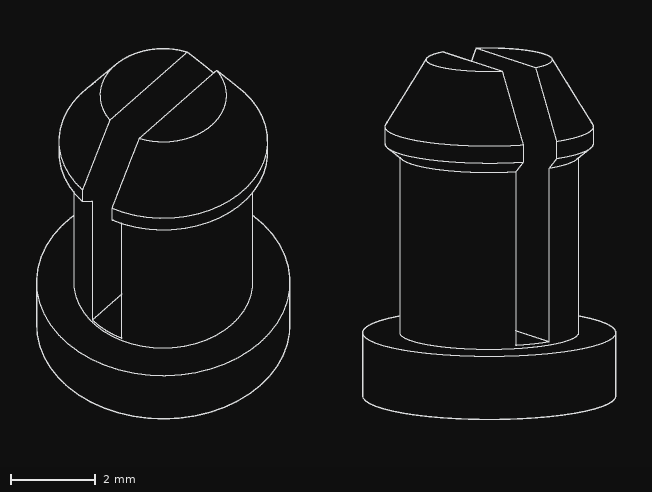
import cadquery as cq

flange_diameter = 6.0
shank_diameter = 4.24
head_diameter = 4.94
tip_diameter = 2.99

flange_top = 1.52
slot_floor = 1.6
shank_top = 5.78
head_rim_bottom = 6.075
head_rim_top = 6.49
total_height = 8.1

slot_width = 0.91


def make_body():
    """Revolve the half profile of flange, shank and barbed head about Z."""
    return (
        cq.Workplane("XZ")
        .moveTo(0, 0)
        .lineTo(flange_diameter / 2, 0)
        .lineTo(flange_diameter / 2, flange_top)
        .lineTo(shank_diameter / 2, flange_top)
        .lineTo(shank_diameter / 2, shank_top)
        .lineTo(head_diameter / 2, head_rim_bottom)
        .lineTo(head_diameter / 2, head_rim_top)
        .lineTo(tip_diameter / 2, total_height)
        .lineTo(0, total_height)
        .close()
        .revolve(360, (0, 0, 0), (0, 1, 0))
    )


def make_slot():
    """Slot along Y that splits the head and shank into two prongs."""
    return (
        cq.Workplane("XY")
        .workplane(offset=slot_floor)
        .rect(slot_width, flange_diameter)
        .extrude(total_height - slot_floor)
    )


result = make_body().cut(make_slot())